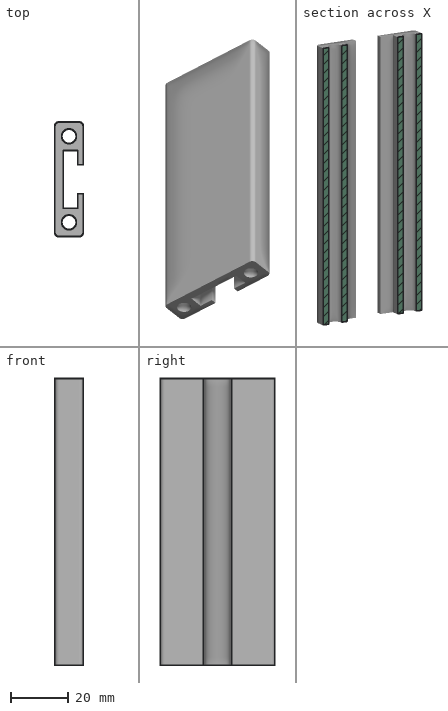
import cadquery as cq

thickness = 10.0
width = 40.0
length = 100.0
corner_radius = 1.5

hole_diameter = 5.0
hole_spacing = 30.0

back_wall = 3.0
lip_thickness = 2.0
slot_width = 20.0
mouth_width = 10.0


def make_body():
    return (
        cq.Workplane("XY")
        .rect(thickness, width)
        .extrude(length)
        .edges("|Z")
        .fillet(corner_radius)
    )


def make_holes():
    return (
        cq.Workplane("XY")
        .pushPoints([(0, -hole_spacing / 2), (0, hole_spacing / 2)])
        .circle(hole_diameter / 2)
        .extrude(length)
    )


def make_slot():
    floor_x = -thickness / 2 + back_wall
    slot_depth = thickness - back_wall
    cavity_depth = slot_depth - lip_thickness
    cavity = cq.Workplane("XY").box(cavity_depth, slot_width, length, centered=(False, True, False))
    mouth = cq.Workplane("XY").box(slot_depth, mouth_width, length, centered=(False, True, False))
    return cavity.union(mouth).translate((floor_x, 0, 0))


result = make_body().cut(make_holes()).cut(make_slot())